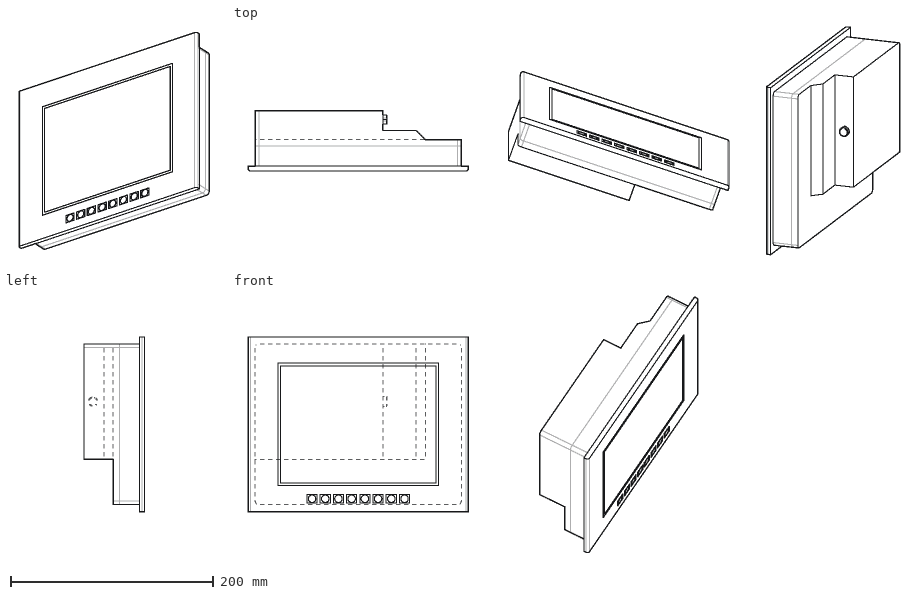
import cadquery as cq
import math

plate_width = 218
plate_height = 173.0
plate_thickness = 5.0
plate_edge_radius = 2.5

total_depth = 60.0
housing_width = 204.0
housing_height = 159.1
housing_corner_radius = 3.7
seam_y = 24.6
cover_low_y = 31.2
cover_mid_y = 40.3
box_side_x = 24.5
ledge_end_x = 57.3
box_bottom_z = -34.7

connector_diameter = 9.2
connector_length = 4.1
connector_chamfer = 0.7
connector_y = 51.0
connector_z = (box_bottom_z + housing_height / 2) / 2
rib_width = 3.3
rib_height = 0.7

screen_width = 153.7
screen_height = 115.8
screen_gap = 2.6
engraving_depth = 0.2

key_count = 8
key_pitch = 13
key_width = 10.0
key_height = 8.0
key_cap_diameter = 7.5
key_row_z = -73.7


def block_between(width, height, y_start, y_end):
    """Box centred on X and Z that spans y_start to y_end."""
    depth = y_end - y_start
    return cq.Workplane("XY").box(width, depth, height).translate((0, (y_start + y_end) / 2, 0))


def make_plate():
    plate = block_between(plate_width, plate_height, 0, plate_thickness)
    return plate.edges("|Z and <Y").fillet(plate_edge_radius)


def make_housing_layer(y_start, y_end):
    """Slice of the housing with rounded corners."""
    layer = block_between(housing_width, housing_height, y_start, y_end)
    return layer.edges("|Y").fillet(housing_corner_radius)


def make_cover():
    """Rear cover: the stepped profile above, a flat low step below."""
    half_width = housing_width / 2
    ledge_foot_x = ledge_end_x + cover_mid_y - cover_low_y
    stepped_profile = (
        cq.Workplane("XY")
        .workplane(offset=box_bottom_z)
        .moveTo(-half_width, seam_y)
        .lineTo(-half_width, total_depth)
        .lineTo(box_side_x, total_depth)
        .lineTo(box_side_x, cover_mid_y)
        .lineTo(ledge_end_x, cover_mid_y)
        .lineTo(ledge_foot_x, cover_low_y)
        .lineTo(half_width, cover_low_y)
        .lineTo(half_width, seam_y)
        .close()
        .extrude(housing_height / 2 - box_bottom_z)
    )
    low_step = block_between(housing_width, housing_height, seam_y, cover_low_y)
    rounded_envelope = make_housing_layer(seam_y, total_depth)
    return stepped_profile.union(low_step).intersect(rounded_envelope)


def make_connector():
    """Chamfered barrel with a V-shaped rib along its upper side."""
    radius = connector_diameter / 2
    rib_base = math.sqrt(radius**2 - (rib_width / 2) ** 2)
    wall = cq.Workplane("YZ", origin=(box_side_x, connector_y, connector_z))
    barrel = wall.circle(radius).extrude(connector_length).faces(">X").chamfer(connector_chamfer)
    rib = (
        wall.moveTo(0, radius + rib_height)
        .lineTo(rib_width / 2, rib_base)
        .lineTo(rib_width / 2, 0)
        .lineTo(-rib_width / 2, 0)
        .lineTo(-rib_width / 2, rib_base)
        .close()
        .extrude(connector_length)
    )
    return barrel.union(rib)


def make_screen_groove():
    frame = block_between(
        screen_width + 2 * screen_gap, screen_height + 2 * screen_gap, 0, engraving_depth
    )
    return frame.cut(block_between(screen_width, screen_height, 0, engraving_depth))


def make_key_recesses():
    """Rectangular recesses, each leaving a round key cap flush with the plate."""
    row_length = (key_count - 1) * key_pitch
    centres = [(-row_length / 2 + i * key_pitch, key_row_z) for i in range(key_count)]
    front = cq.Workplane("XZ").pushPoints(centres)
    recesses = front.rect(key_width, key_height).extrude(-engraving_depth)
    caps = front.circle(key_cap_diameter / 2).extrude(-engraving_depth)
    return recesses.cut(caps)


result = (
    make_plate()
    .union(make_housing_layer(plate_thickness, seam_y))
    .union(make_cover(), clean=False)
    .union(make_connector(), clean=False)
    .cut(make_screen_groove(), clean=False)
    .cut(make_key_recesses(), clean=False)
)